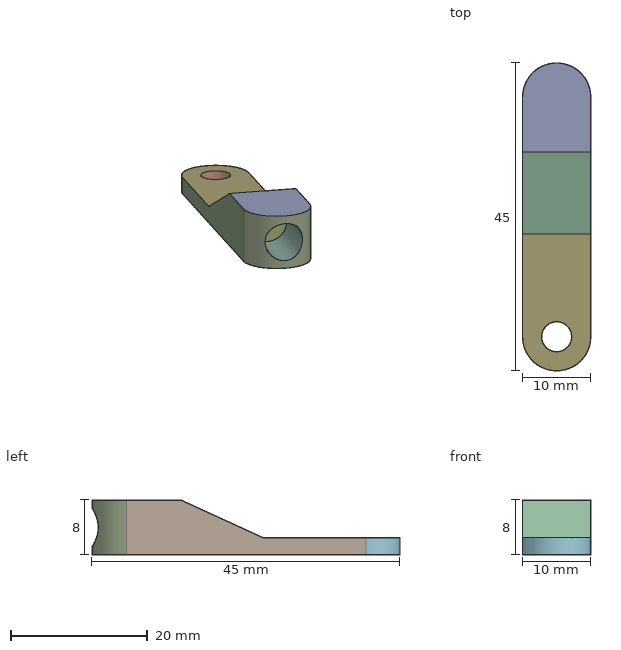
import cadquery as cq

width = 10.0
length = 45.0
tall_height = 8.0
thin_height = 2.5
end_radius = width / 2
arc_spacing = length - width
tail_end = -end_radius
head_end = arc_spacing + end_radius

slope_start = 15.0
slope_end = 27.0

eye_diameter = 4.35
socket_diameter = 5.65
socket_depth = 10.0


def rounded_outline():
    """Full-height bar with both ends rounded; the eye axis is at the origin."""
    return (
        cq.Workplane("XY")
        .center(0, arc_spacing / 2)
        .slot2D(length, width, 90)
        .extrude(tall_height)
    )


def side_profile():
    """Thin tail, slope and tall head, spanning the full width."""
    return (
        cq.Workplane("YZ")
        .moveTo(tail_end, 0)
        .lineTo(head_end, 0)
        .lineTo(head_end, tall_height)
        .lineTo(slope_end, tall_height)
        .lineTo(slope_start, thin_height)
        .lineTo(tail_end, thin_height)
        .close()
        .extrude(width / 2, both=True)
    )


def eye_hole():
    """Vertical through hole in the thin tail."""
    return cq.Workplane("XY").circle(eye_diameter / 2).extrude(thin_height)


def head_socket():
    """Blind round hole entering the tall head along Y, at mid-height."""
    return (
        cq.Workplane("XZ", origin=(0, head_end, tall_height / 2))
        .circle(socket_diameter / 2)
        .extrude(socket_depth)
    )


result = rounded_outline().intersect(side_profile()).cut(eye_hole()).cut(head_socket())